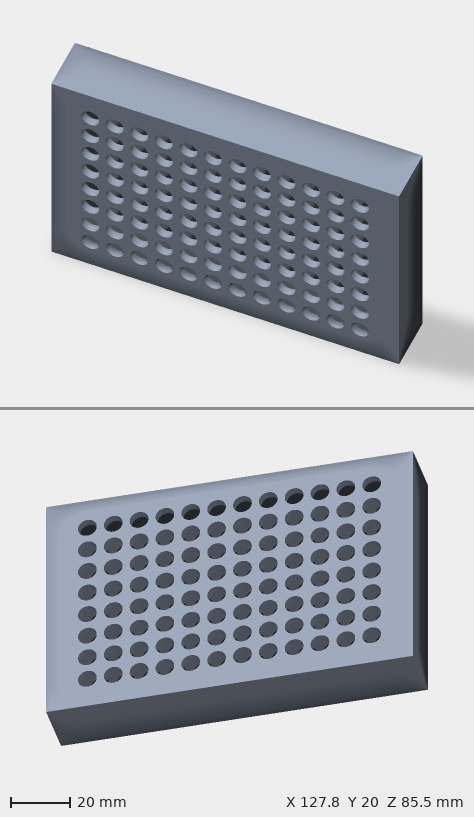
import cadquery as cq

length = 127.8
depth = 20.0
height = 85.5
cavity_depth = 14.0
wall = (depth - cavity_depth) / 2

fingers_along_length = 7
fingers_along_height = 5
finger_length = length / fingers_along_length
finger_height = height / fingers_along_height

hole_diameter = 6.5
hole_columns = 12
hole_rows = 8
hole_span = 99.0
hole_pitch = hole_span / (hole_columns - 1)


def odd_finger_centres(count, size):
    """Centres of fingers 1, 3, 5... of an edge centred on zero; the corner fingers are even."""
    return [(i - (count - 1) / 2) * size for i in range(1, count, 2)]


def end_panel():
    """Panel normal to Z that fits between the side panels, with tabs through the face panels."""
    panel = cq.Workplane("XY").box(length - 2 * wall, depth - 2 * wall, wall)
    for x in odd_finger_centres(fingers_along_length, finger_length):
        panel = panel.union(cq.Workplane("XY").box(finger_length, depth, wall).translate((x, 0, 0)))
    return panel


def side_panel():
    """Full-height panel normal to X, with tabs through the face panels."""
    panel = cq.Workplane("XY").box(wall, depth - 2 * wall, height)
    for z in odd_finger_centres(fingers_along_height, finger_height):
        panel = panel.union(cq.Workplane("XY").box(wall, depth, finger_height).translate((0, 0, z)))
    return panel


def face_panel():
    """Perforated panel normal to Y, notched where the end and side panels' tabs pass through."""
    panel = cq.Workplane("XY").box(length, wall, height)
    for x in odd_finger_centres(fingers_along_length, finger_length):
        for z in (-end_offset, end_offset):
            panel = panel.cut(cq.Workplane("XY").box(finger_length, wall, wall).translate((x, 0, z)))
    for z in odd_finger_centres(fingers_along_height, finger_height):
        for x in (-side_offset, side_offset):
            panel = panel.cut(cq.Workplane("XY").box(wall, wall, finger_height).translate((x, 0, z)))
    holes = (
        cq.Workplane("XZ", origin=(0, wall / 2, 0))
        .rarray(hole_pitch, hole_pitch, hole_columns, hole_rows)
        .circle(hole_diameter / 2)
        .extrude(wall)
    )
    return panel.cut(holes)


side_offset = (length - wall) / 2
face_offset = (depth - wall) / 2
end_offset = (height - wall) / 2

end_panels = [end_panel().translate((0, 0, z)) for z in (-end_offset, end_offset)]
side_panels = [side_panel().translate((x, 0, 0)) for x in (-side_offset, side_offset)]
face_panels = [face_panel().translate((0, y, 0)) for y in (-face_offset, face_offset)]

result = cq.Compound.makeCompound([panel.val() for panel in end_panels + side_panels + face_panels])